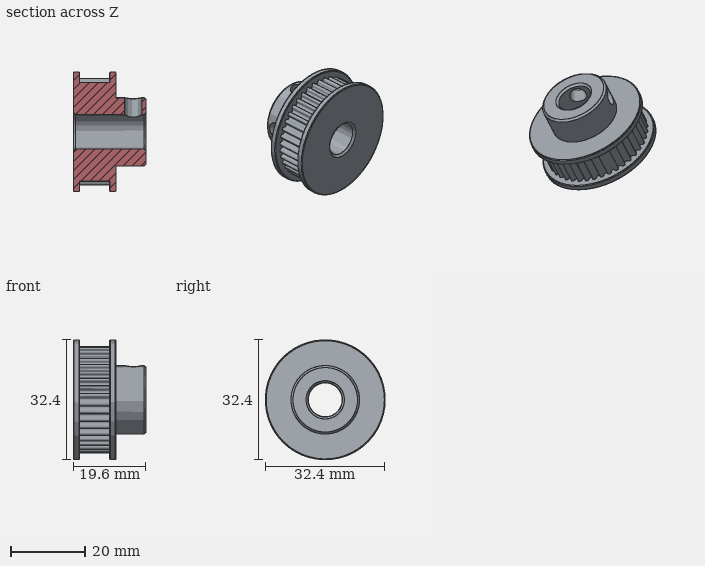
import cadquery as cq
import math


overall_length = 19.65
flange_thickness = 1.7
toothed_width = 8.1
second_flange_start = flange_thickness + toothed_width
hub_start = second_flange_start + flange_thickness
hub_length = overall_length - hub_start

flange_diameter = 32.36
flange_chamfer = 0.23
hub_diameter = 18.5
hub_chamfer = 0.55

tooth_count = 40
tip_radius = 14.45
flank_radius = 13.9
root_radius = 13.35
tip_arc_radius = 0.58
tooth_pitch_angle = 360 / tooth_count
groove_half_angle = 2.2

bore_diameter = 9.15
bore_chamfer = 0.6

screw_hole_diameter = 4.6
screw_hole_x = 16.15


def disc(start, length, diameter):
    """Cylinder along X that begins at the given X position."""
    return cq.Workplane("YZ", origin=(start, 0, 0)).circle(diameter / 2).extrude(length)


def polar_point(radius, angle):
    """Point in the YZ plane at an angle, in degrees, from +Y."""
    return (radius * math.cos(math.radians(angle)), radius * math.sin(math.radians(angle)))


def toothed_rim():
    """Tooth section, with a groove centred on +Y and every pitch angle after it."""
    outline = cq.Workplane("YZ", origin=(flange_thickness, 0, 0))
    outline = outline.moveTo(*polar_point(flank_radius, -groove_half_angle))
    for tooth in range(tooth_count):
        groove_angle = tooth * tooth_pitch_angle
        tip_angle = groove_angle + tooth_pitch_angle / 2
        next_groove_start = groove_angle + tooth_pitch_angle - groove_half_angle
        outline = outline.threePointArc(
            polar_point(root_radius, groove_angle),
            polar_point(flank_radius, groove_angle + groove_half_angle),
        )
        outline = outline.radiusArc(polar_point(tip_radius, tip_angle), -tip_arc_radius)
        outline = outline.radiusArc(polar_point(flank_radius, next_groove_start), -tip_arc_radius)
    return outline.close().extrude(toothed_width)


def flange(start):
    """Flange disc with both rims chamfered."""
    return disc(start, flange_thickness, flange_diameter).edges().chamfer(flange_chamfer)


def hub():
    """Hub with its free end chamfered."""
    return disc(hub_start, hub_length, hub_diameter).faces(">X").edges().chamfer(hub_chamfer)


def bore():
    """Through bore with a chamfer at each end, as a solid to cut."""
    bore_radius = bore_diameter / 2
    mouth_radius = bore_radius + bore_chamfer
    half_section = [
        (0, 0),
        (0, mouth_radius),
        (bore_chamfer, bore_radius),
        (overall_length - bore_chamfer, bore_radius),
        (overall_length, mouth_radius),
        (overall_length, 0),
    ]
    return cq.Workplane("XY").polyline(half_section).close().revolve(360, (0, 0, 0), (1, 0, 0))


def screw_hole(direction):
    """Radial hole from the bore axis out through the hub wall, as a solid to cut."""
    start = cq.Vector(screw_hole_x, 0, 0)
    reach = hub_diameter
    hole = cq.Solid.makeCylinder(screw_hole_diameter / 2, reach, start, direction)
    return cq.Workplane("XY").add(hole)


result = flange(0)
for section in (toothed_rim(), flange(second_flange_start), hub()):
    result = result.union(section)
result = result.cut(bore())
for screw_direction in (cq.Vector(0, 1, 0), cq.Vector(0, 0, 1)):
    result = result.cut(screw_hole(screw_direction))